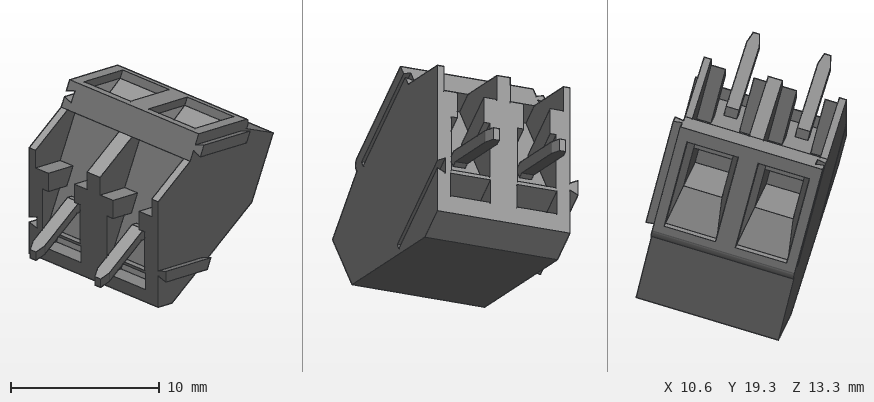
import cadquery as cq
import math


pole_pitch = 5.0
pole_count = 2
block_width = pole_pitch * pole_count
back_y = 15.5
back_z = 4.12
flat_top_z = 11.66
tilt_angle = math.radians(35)
bottom_bevel_y = 1.86
top_v = 14.02
step_u = -3.16

lip_radius = 0.6
lip_u = 4.65
lip_v = top_v - lip_radius
lip_end_angle = math.radians(-50)

cavity_end_u = -1.66
cavity_entry_u = -12.0
channel_width = 4.0
channel_floor_v = 8.14
channel_ceiling_v = 12.02
stem_width = 2.0
pin_bay_width = 2.9
pin_bay_floor_v = 3.58
pin_bay_ceiling_v = 6.68
low_bay_width = 3.0
low_bay_floor_v = 2.07
low_bay_ceiling_v = 3.385
low_bay_end_u = 0.92

window_width = 3.6
window_start_u = -2.25
window_end_u = 4.08
window_rim_depth = 0.6
well_width = 2.7
well_start_u = -1.4
well_end_u = 1.45
well_floor_v = 8.0
taper_end_v = 12.6

pin_width = 0.9
pin_thickness = 0.83
pin_top_z = 6.38
pin_bend_y = 1.62
pin_reach = 3.8
pin_tip_length = 0.78
pin_tip_width = 0.45
pin_embed = 0.3

dovetail_depth = 0.6
dovetail_root = 0.42
dovetail_wide = 0.86
dovetail_end_u = 4.44
dovetail_length = 12.0
dovetail_levels = (13.0, 3.79)

cos_t = math.cos(tilt_angle)
sin_t = math.sin(tilt_angle)
tan_t = math.tan(tilt_angle)


def tilted(u, v):
    """(y, z) of a point given in the tilted frame."""
    return (u * cos_t + v * sin_t, v * cos_t - u * sin_t)


def side_prism(points, x_start, width):
    """Prism along X over a polygon of (y, z) points."""
    return cq.Workplane("YZ", origin=(x_start, 0, 0)).polyline(points).close().extrude(width)


def tilted_prism(points, center_x, width):
    """Prism along X, centred on center_x, over a polygon of (u, v) points."""
    return side_prism([tilted(u, v) for u, v in points], center_x - width / 2, width)


def tilted_box(u_start, u_end, v_low, v_high, center_x, width):
    """Box square to the tilted frame, centred on center_x."""
    corners = [(u_start, v_low), (u_end, v_low), (u_end, v_high), (u_start, v_high)]
    return tilted_prism(corners, center_x, width)


def section_prism(points, u_end, length):
    """Prism over a polygon of (x, v) points, running from u_end towards -u."""
    end_y, end_z = tilted(u_end, 0)
    plane = cq.Plane(origin=(0, end_y, end_z), xDir=(1, 0, 0), normal=(0, -cos_t, sin_t))
    return cq.Workplane(plane).polyline(points).close().extrude(length)


def block_slab(x_start, width):
    """Side outline of the block, extruded along X."""
    lip_y, lip_z = tilted(lip_u, lip_v)
    lip_side = (lip_y + lip_radius, lip_z)
    lip_end = (
        lip_y + lip_radius * math.cos(lip_end_angle),
        lip_z + lip_radius * math.sin(lip_end_angle),
    )
    step_v = (flat_top_z + step_u * sin_t) / cos_t
    return (
        cq.Workplane("YZ", origin=(x_start, 0, 0))
        .moveTo(0, bottom_bevel_y * tan_t)
        .lineTo(0, flat_top_z)
        .lineTo(*tilted(step_u, step_v))
        .lineTo(*tilted(step_u, top_v))
        .lineTo(*tilted(lip_u, top_v))
        .threePointArc(lip_side, lip_end)
        .lineTo(back_y, back_z)
        .lineTo(back_y - back_z * tan_t, 0)
        .lineTo(bottom_bevel_y, 0)
        .close()
        .extrude(width)
    )


def dovetail(x_start, level_v):
    """Dovetail bar, narrow at x_start and wide at the far side."""
    x_far = x_start + dovetail_depth
    section = [
        (x_start, level_v - dovetail_root / 2),
        (x_far, level_v - dovetail_wide / 2),
        (x_far, level_v + dovetail_wide / 2),
        (x_start, level_v + dovetail_root / 2),
    ]
    return section_prism(section, dovetail_end_u, dovetail_length)


def pin_face_cavities(x):
    """Tilted T-shaped channel over a pin bay, with a separate low bay beneath."""
    channel = tilted_box(
        cavity_entry_u, cavity_end_u, channel_floor_v, channel_ceiling_v, x, channel_width
    )
    stem = tilted_box(
        cavity_entry_u, cavity_end_u, pin_bay_floor_v, channel_ceiling_v, x, stem_width
    )
    pin_bay = tilted_box(
        cavity_entry_u, cavity_end_u, pin_bay_floor_v, pin_bay_ceiling_v, x, pin_bay_width
    )
    low_bay = tilted_box(
        cavity_entry_u, low_bay_end_u, low_bay_floor_v, low_bay_ceiling_v, x, low_bay_width
    )
    return channel.union(stem).union(pin_bay).union(low_bay)


def window(x):
    """Mouth with straight rim, tapered sides and sloped floor, opening into a deep well."""
    rim_v = top_v - window_rim_depth
    profile = [
        (window_start_u, top_v),
        (window_end_u, top_v),
        (window_end_u, rim_v),
        (well_end_u, taper_end_v),
        (window_start_u, taper_end_v),
    ]
    section = [
        (x - window_width / 2, top_v),
        (x - window_width / 2, rim_v),
        (x - well_width / 2, taper_end_v),
        (x + well_width / 2, taper_end_v),
        (x + window_width / 2, rim_v),
        (x + window_width / 2, top_v),
    ]
    mouth = tilted_prism(profile, x, window_width).intersect(
        section_prism(section, window_end_u, window_end_u - window_start_u)
    )
    well = tilted_box(well_start_u, well_end_u, well_floor_v, taper_end_v, x, well_width)
    return mouth.union(well)


def pin(x):
    """Flat pin with a tapered tip, bent square to the cavity end wall and embedded in it."""
    bend_v = pin_bend_y * sin_t + pin_top_z * cos_t
    bend_offset = pin_thickness * math.tan(tilt_angle / 2)
    root_u = cavity_end_u + pin_embed
    bottom_z = pin_top_z - pin_thickness
    tip_y = -pin_reach
    side = [
        (tip_y, pin_top_z),
        (pin_bend_y, pin_top_z),
        tilted(root_u, bend_v),
        tilted(root_u, bend_v - pin_thickness),
        (pin_bend_y - bend_offset, bottom_z),
        (tip_y, bottom_z),
    ]
    shoulder_y = tip_y + pin_tip_length
    plan = [
        (x - pin_tip_width / 2, tip_y),
        (x + pin_tip_width / 2, tip_y),
        (x + pin_width / 2, shoulder_y),
        (x + pin_width / 2, back_y),
        (x - pin_width / 2, back_y),
        (x - pin_width / 2, shoulder_y),
    ]
    plan_prism = cq.Workplane("XY").polyline(plan).close().extrude(flat_top_z)
    return side_prism(side, x - pin_width / 2, pin_width).intersect(plan_prism)


body = block_slab(0, block_width)
for level in dovetail_levels:
    body = body.cut(dovetail(0, level))
    body = body.union(dovetail(block_width, level).intersect(block_slab(block_width, dovetail_depth)))
for pole in range(pole_count):
    pole_x = (pole + 0.5) * pole_pitch
    body = body.cut(pin_face_cavities(pole_x)).cut(window(pole_x)).union(pin(pole_x))
result = body